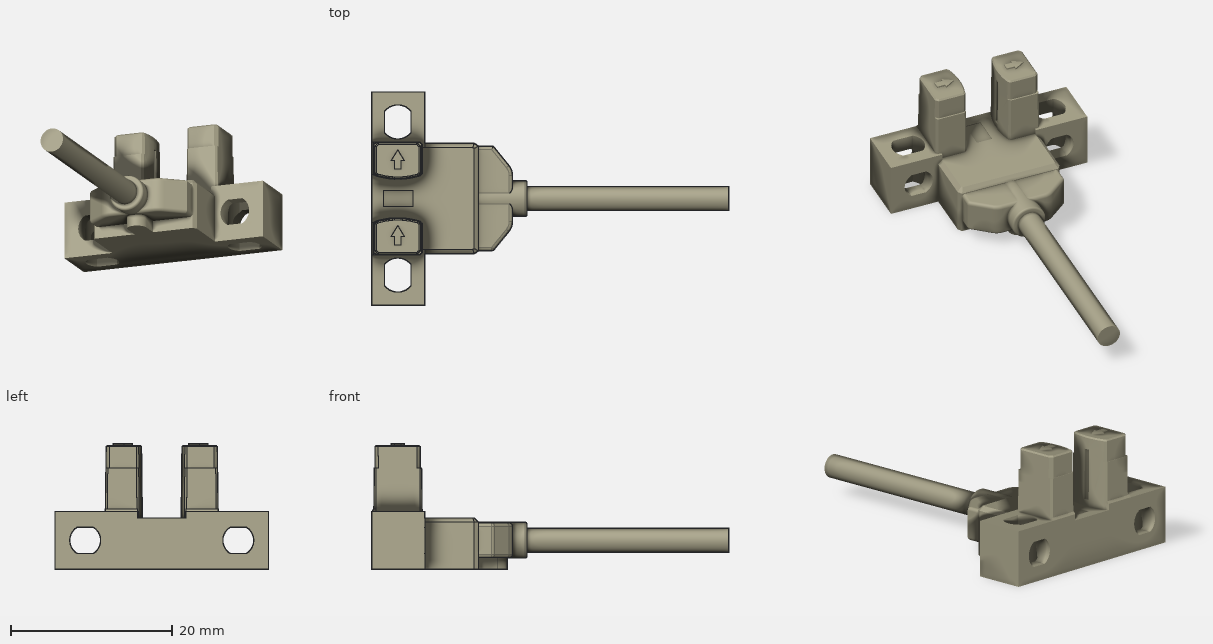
import cadquery as cq
import math


block_length = 6.6
block_width = 26.5
block_height = 7.2

hole_pitch = 19.0
hole_flat_width = 3.25
top_hole_diameter = 4.2
front_hole_diameter = 3.8
hole_x = 3.25
hole_z = block_height / 2

body_end = 13.28
body_width = 13.75
body_height = 6.4
body_top_chamfer = 0.55
body_corner_length = 0.55
body_corner_width = 0.37

gap_width = 4.76
gap_arc_radius = 8.95
gap_arc_x = 3.25
gap_clearance = 0.05

label_front = 1.47
label_length = 3.66
label_width = 2.04
label_depth = 0.1

tower_front = 0.25
tower_rear = 6.3
tower_outer = 7.02
tower_corner = 0.29
tower_draft = 0.7
tower_top = 15.4
tower_top_bevel = 0.18
upper_stage_z = 12.55
upper_front = 0.41
upper_rear = 6.05
upper_corner = 0.42
upper_outer = 6.93
flare_front = 0.05
flare_height = 0.3

slit_width = 0.8
slit_depth = 0.4
slit_top = 13.75

part_height = 15.6
arrow_y = 4.7
arrow_tip = 1.35
arrow_tail = -1.05
arrow_head_half = 0.82
arrow_stem_half = 0.42

shell_end = 17.5
shell_half_width = 6.5
shell_shoulder_x = 15.1
shell_end_half_width = 3.55
shell_bottom = 1.45
shell_top = 5.75
shell_shoulder_radius = 0.5
shell_end_radius = 2.0
shell_edge_radius = 0.42

foot_end = 16.85
foot_radius = 1.25

cable_axis_z = 3.62
cable_diameter = 3.0
cable_end = 44.35
collar_diameter = 4.46
collar_end = 19.3
collar_edge_radius = 0.25


def box(x_min, x_max, y_min, y_max, z_min, z_max):
    size = (x_max - x_min, y_max - y_min, z_max - z_min)
    return cq.Workplane("XY").box(*size, centered=False).translate((x_min, y_min, z_min))


def gap_wall_y(x):
    """Y of the +Y gap wall at x, measured at the gap floor."""
    sagitta = gap_arc_radius - math.sqrt(gap_arc_radius**2 - (x - gap_arc_x) ** 2)
    return gap_width / 2 + sagitta


def flattened_hole(plane, diameter, flat_width, flats_along_x, depth):
    """Round bore limited to flat_width across one of its plane's axes."""
    bore = cq.Workplane(plane).circle(diameter / 2).extrude(depth)
    size = (flat_width, diameter) if flats_along_x else (diameter, flat_width)
    return bore.intersect(cq.Workplane(plane).rect(*size).extrude(depth))


def make_block():
    block = box(0, block_length, -block_width / 2, block_width / 2, 0, block_height)
    top_hole = flattened_hole("XY", top_hole_diameter, hole_flat_width, True, block_height)
    front_hole = flattened_hole("YZ", front_hole_diameter, hole_flat_width, False, block_length)
    for side in (-1, 1):
        hole_y = side * hole_pitch / 2
        block = block.cut(top_hole.translate((hole_x, hole_y, 0)))
        block = block.cut(front_hole.translate((0, hole_y, hole_z)))
    return block


def make_body():
    half_width = body_width / 2
    end_half_width = half_width - body_corner_width
    corner_x = body_end - body_corner_length
    outline = [
        (0, -half_width),
        (corner_x, -half_width),
        (body_end, -end_half_width),
        (body_end, end_half_width),
        (corner_x, half_width),
        (0, half_width),
    ]
    body = cq.Workplane("XY").polyline(outline).close().extrude(body_height)
    top_edges = body.faces(">Z").edges("not <X")
    return top_edges.chamfer(body_top_chamfer)


def make_gap():
    """Space above the body top, between the towers and behind them.

    It is cut slightly wide, so the tower walls run unbroken down to the gap floor.
    """
    wall_front = gap_wall_y(0) + gap_clearance
    wall_rear = gap_wall_y(block_length) + gap_clearance
    wall_middle = gap_wall_y(gap_arc_x) + gap_clearance
    depth = block_height - body_height
    between = (
        cq.Workplane("XY", origin=(0, 0, body_height))
        .moveTo(0, -wall_front)
        .threePointArc((gap_arc_x, -wall_middle), (block_length, -wall_rear))
        .lineTo(block_length, wall_rear)
        .threePointArc((gap_arc_x, wall_middle), (0, wall_front))
        .close()
        .extrude(depth)
    )
    half_width = body_width / 2 - body_top_chamfer
    relief_front = tower_rear - tower_corner
    behind = box(relief_front, block_length, -half_width, half_width, body_height, block_height)
    return between.union(behind)


def make_tower_shaft():
    """Drafted shaft of the +Y tower: bevelled corners and a curved inner wall."""
    arc_front = tower_front + tower_corner
    arc_rear = tower_rear - tower_corner
    inner_y = gap_wall_y(arc_front)
    inner_rear_y = gap_wall_y(arc_rear)
    return (
        cq.Workplane("XY", origin=(0, 0, body_height))
        .moveTo(arc_front, inner_y)
        .threePointArc((gap_arc_x, gap_wall_y(gap_arc_x)), (arc_rear, inner_rear_y))
        .lineTo(tower_rear, inner_rear_y + tower_corner)
        .lineTo(tower_rear, tower_outer - tower_corner)
        .lineTo(arc_rear, tower_outer)
        .lineTo(arc_front, tower_outer)
        .lineTo(tower_front, tower_outer - tower_corner)
        .lineTo(tower_front, inner_y + tower_corner)
        .close()
        .extrude(tower_top - body_height, taper=tower_draft)
    )


def make_upper_stage_envelope():
    """Prism that slims the front, the rear and the corners of the upper stage."""
    inner = gap_wall_y(upper_front + upper_corner)
    outline = [
        (upper_front, inner + upper_corner),
        (upper_front + 2 * upper_corner, inner - upper_corner),
        (upper_rear - 2 * upper_corner, inner - upper_corner),
        (upper_rear, inner + upper_corner),
        (upper_rear, upper_outer - upper_corner),
        (upper_rear - 2 * upper_corner, upper_outer + upper_corner),
        (upper_front + 2 * upper_corner, upper_outer + upper_corner),
        (upper_front, upper_outer - upper_corner),
    ]
    sketch = cq.Workplane("XY", origin=(0, 0, upper_stage_z)).polyline(outline).close()
    return sketch.extrude(tower_top - upper_stage_z)


def make_tower_flare():
    """Sloping toe where the tower front meets the block top."""
    toe_rear = tower_front + tower_corner
    inner_y = gap_wall_y(0)
    profile = [
        (flare_front, block_height),
        (toe_rear, block_height),
        (toe_rear, block_height + flare_height),
        (tower_front, block_height + flare_height),
    ]
    sketch = cq.Workplane("XZ", origin=(0, inner_y, 0)).polyline(profile).close()
    return sketch.extrude(inner_y - tower_outer)


def make_tower():
    """The tower on the +Y side."""
    surround = box(0, block_length, 0, block_width / 2, upper_stage_z, tower_top)
    tower = make_tower_shaft().cut(surround.cut(make_upper_stage_envelope()))
    tower = tower.faces(">Z").chamfer(tower_top_bevel)
    tower = tower.union(make_tower_flare())

    slit = box(
        gap_arc_x - slit_width / 2,
        gap_arc_x + slit_width / 2,
        0,
        gap_width / 2 + slit_depth,
        body_height,
        slit_top,
    )
    return tower.cut(slit)


def make_arrow():
    """Arrow pointing to +Y, with its head starting at Y = 0."""
    points = [
        (0, arrow_tip),
        (arrow_head_half, 0),
        (arrow_stem_half, 0),
        (arrow_stem_half, arrow_tail),
        (-arrow_stem_half, arrow_tail),
        (-arrow_stem_half, 0),
        (-arrow_head_half, 0),
    ]
    origin = (gap_arc_x, 0, tower_top)
    return cq.Workplane("XY", origin=origin).polyline(points).close().extrude(part_height - tower_top)


def make_shell():
    start = body_end - body_corner_length
    outline = [
        (start, -shell_half_width),
        (shell_shoulder_x, -shell_half_width),
        (shell_end, -shell_end_half_width),
        (shell_end, shell_end_half_width),
        (shell_shoulder_x, shell_half_width),
        (start, shell_half_width),
    ]
    shell = cq.Workplane("XY", origin=(0, 0, shell_bottom)).polyline(outline).close()
    shell = shell.extrude(shell_top - shell_bottom)
    shoulder_edges = cq.selectors.BoxSelector(
        (shell_shoulder_x - shell_shoulder_radius, -shell_half_width, shell_bottom),
        (shell_shoulder_x + shell_shoulder_radius, shell_half_width, shell_top),
    )
    shell = shell.edges("|Z and >X").fillet(shell_end_radius)
    shell = shell.edges(shoulder_edges).fillet(shell_shoulder_radius)
    return shell.faces(">Z or <Z").edges("not <X").fillet(shell_edge_radius)


def make_foot():
    round_x = foot_end - foot_radius
    straight = box(body_end, round_x, -foot_radius, foot_radius, 0, cable_axis_z)
    round_end = cq.Workplane("XY", origin=(round_x, 0, 0)).circle(foot_radius).extrude(cable_axis_z)
    return straight.union(round_end)


def make_cable():
    start = cq.Workplane("YZ", origin=(body_end, 0, cable_axis_z))
    collar = start.circle(collar_diameter / 2).extrude(collar_end - body_end)
    collar = collar.faces(">X").edges().fillet(collar_edge_radius)
    return collar.union(start.circle(cable_diameter / 2).extrude(cable_end - body_end))


def make_label_recess():
    half_width = label_width / 2
    label_rear = label_front + label_length
    return box(label_front, label_rear, -half_width, half_width, body_height - label_depth, body_height)


tower = make_tower()
arrow = make_arrow()

result = make_block().cut(make_gap()).union(make_body())
result = result.union(tower).union(tower.mirror("XZ"))
for side in (-1, 1):
    result = result.union(arrow.translate((0, side * arrow_y, 0)))
result = result.cut(make_label_recess())
result = result.union(make_shell()).union(make_foot()).union(make_cable())